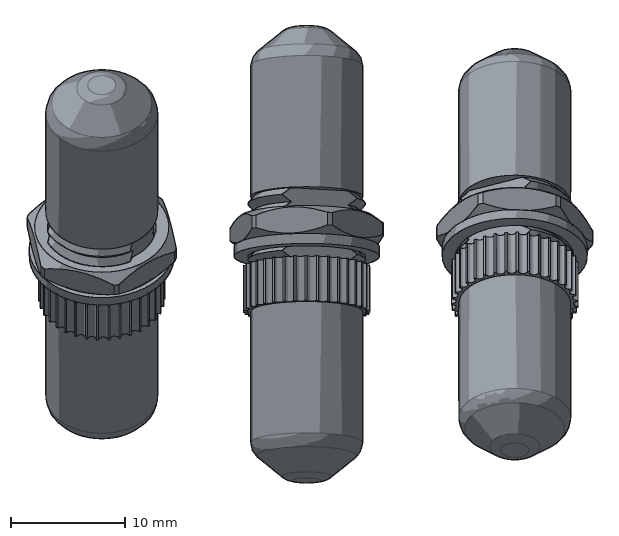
import cadquery as cq
import math

TOTAL_LENGTH = 40.25
CAP_LENGTH = 15.0
KNURL_LENGTH = 4.0
KNURL_BASE = CAP_LENGTH
THREAD_BASE = KNURL_BASE + KNURL_LENGTH
THREAD_TOP = TOTAL_LENGTH - CAP_LENGTH

CAP_RADIUS = 4.9
CAP_TIP_RADIUS = 1.77
CAP_CONE_ANGLE = 40.0
CAP_ROUNDING = 1.5

THREAD_CREST_RADIUS = 5.15
THREAD_ROOT_RADIUS = 4.65
THREAD_TURNS = 5
FLATS_WIDTH = 7.65
KNURL_RADIUS = 5.55
GROOVE_COUNT = 35
GROOVE_RADIUS = 0.4

WASHER_BASE = 19.93
WASHER_THICKNESS = 0.9
WASHER_RADIUS = 6.35

NUT_BASE = WASHER_BASE + WASHER_THICKNESS
NUT_HEIGHT = 2.58
NUT_ACROSS_FLATS = 12.08
NUT_BORE_RADIUS = 4.75
NUT_CORNER_RADIUS = 6.85
NUT_FACE_RADIUS = 5.88
NUT_CHAMFER_HEIGHT = 0.72
CORNER_TURN = 30.0


def make_cap():
    """Solid cap with its flat tip at Z = 0 and its flat seating face at the top."""
    cone_height = (CAP_RADIUS - CAP_TIP_RADIUS) * math.tan(math.radians(CAP_CONE_ANGLE))
    cap = (
        cq.Workplane("XZ")
        .moveTo(0, 0)
        .lineTo(CAP_TIP_RADIUS, 0)
        .lineTo(CAP_RADIUS, cone_height)
        .lineTo(CAP_RADIUS, CAP_LENGTH)
        .lineTo(0, CAP_LENGTH)
        .close()
        .revolve(360, (0, 0), (0, 1))
    )
    return cap.edges("%CIRCLE and (not >Z)").fillet(CAP_ROUNDING)


def make_round_thread():
    """Full-round stack of V ridges, before the side flats are cut."""
    pitch = (THREAD_TOP - THREAD_BASE) / THREAD_TURNS
    profile = cq.Workplane("XZ").moveTo(0, THREAD_BASE).lineTo(THREAD_ROOT_RADIUS, THREAD_BASE)
    for turn in range(THREAD_TURNS):
        root_z = THREAD_BASE + turn * pitch
        profile = profile.lineTo(THREAD_CREST_RADIUS, root_z + pitch / 2)
        profile = profile.lineTo(THREAD_ROOT_RADIUS, root_z + pitch)
    return profile.lineTo(0, THREAD_TOP).close().revolve(360, (0, 0), (0, 1))


def make_knurled_collar():
    """Collar with round-bottomed grooves, one of them facing -Y."""
    collar = cq.Workplane("XY").workplane(offset=KNURL_BASE).circle(KNURL_RADIUS).extrude(KNURL_LENGTH)
    grooves = (
        cq.Workplane("XY")
        .workplane(offset=KNURL_BASE)
        .polarArray(KNURL_RADIUS, -90, 360, GROOVE_COUNT)
        .circle(GROOVE_RADIUS)
        .extrude(KNURL_LENGTH)
    )
    return collar.cut(grooves)


def make_threaded_body():
    """Thread with two flats facing -X and +X, standing on the knurled collar."""
    thread_length = THREAD_TOP - THREAD_BASE
    flats = (
        cq.Workplane("XY")
        .workplane(offset=THREAD_BASE)
        .rect(FLATS_WIDTH, 2 * THREAD_CREST_RADIUS)
        .extrude(thread_length)
    )
    return make_round_thread().intersect(flats).union(make_knurled_collar())


def make_washer():
    """Plain washer that clears the thread crests."""
    return (
        cq.Workplane("XY")
        .workplane(offset=WASHER_BASE)
        .circle(WASHER_RADIUS)
        .circle(THREAD_CREST_RADIUS)
        .extrude(WASHER_THICKNESS)
    )


def make_nut(threaded_body):
    """Hexagonal nut, corners along X, chamfered at both ends, bored and cut to match the thread."""
    nut_top = NUT_BASE + NUT_HEIGHT
    hexagon = (
        cq.Workplane("XY")
        .workplane(offset=NUT_BASE)
        .polygon(6, NUT_ACROSS_FLATS, circumscribed=True)
        .extrude(NUT_HEIGHT)
        .rotate((0, 0, 0), (0, 0, 1), CORNER_TURN)
    )
    turned_blank = (
        cq.Workplane("XZ")
        .moveTo(0, NUT_BASE)
        .lineTo(NUT_FACE_RADIUS, NUT_BASE)
        .lineTo(NUT_CORNER_RADIUS, NUT_BASE + NUT_CHAMFER_HEIGHT)
        .lineTo(NUT_CORNER_RADIUS, nut_top - NUT_CHAMFER_HEIGHT)
        .lineTo(NUT_FACE_RADIUS, nut_top)
        .lineTo(0, nut_top)
        .close()
        .revolve(360, (0, 0), (0, 1))
    )
    bore = cq.Workplane("XY").workplane(offset=NUT_BASE).circle(NUT_BORE_RADIUS).extrude(NUT_HEIGHT)
    return hexagon.intersect(turned_blank).cut(bore).cut(threaded_body)


threaded_body = make_threaded_body()
washer = make_washer()
nut = make_nut(threaded_body)

caps = []
for upside_down in (False, True):
    cap = make_cap()
    if upside_down:
        cap = cap.rotate((0, 0, 0), (1, 0, 0), 180).translate((0, 0, TOTAL_LENGTH))
    caps.append(cap.val())

result = cq.Compound.makeCompound([threaded_body.val(), washer.val(), nut.val(), *caps])